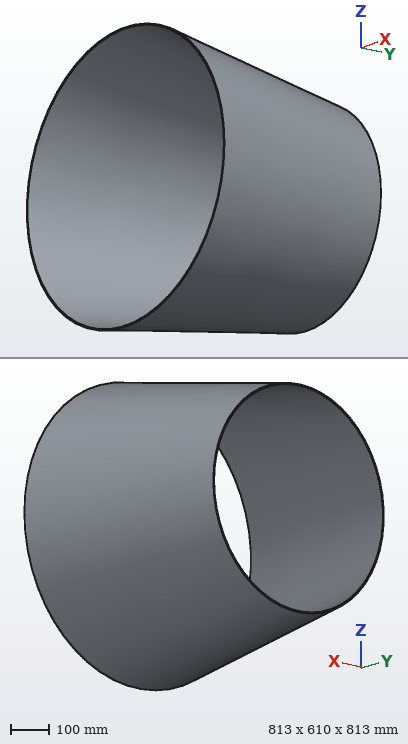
import cadquery as cq

large_diameter = 813.0
small_diameter = 610.0
length = 610.0
wall = 4.0

large_radius = large_diameter / 2
small_radius = small_diameter / 2

wall_section = (
    cq.Workplane("XY")
    .moveTo(large_radius - wall, 0)
    .lineTo(large_radius, 0)
    .lineTo(small_radius, length)
    .lineTo(small_radius - wall, length)
    .close()
)

result = wall_section.revolve(360, (0, 0, 0), (0, 1, 0))